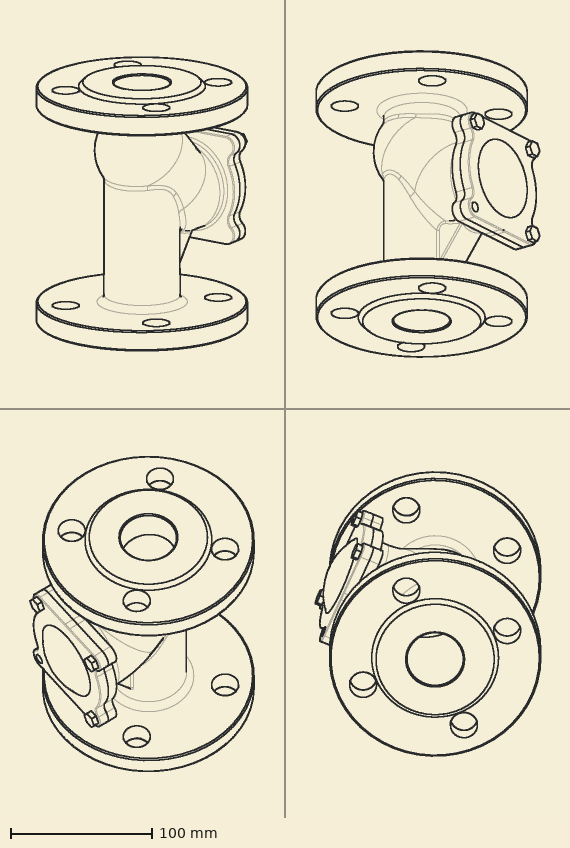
import cadquery as cq
import math

length = 180.0
pipe_d = 54.0
bore_d = 40.0
bore_chamfer = 0.9

flange_d = 150.0
flange_t = 18.0
raised_face_h = 3.0
raised_face_d = 90.0
flange_edge = 1.0
neck_fillet = 5.0
flange_hole_d = 19.0
flange_hole_circle_d = 110.0
flange_hole_count = 4
flange_hole_start = 45.0

chamber_r = 65.0 / 2
round_end_y = -2.2
round_end_z = 130.3
chamber_tilt = 45.0
cover_z = 91.6
bend_r = chamber_r + 0.2
crotch_fillet = 6.5
collar_fillet = 2.0

joint_y = 64.6
plate_t = 7.5
plate_edge = 0.7
plate_r = 40.0
bolt_spacing = 65.0
lobe_r = 7.4
valley_r = 7.0
dome_h = 10.3
dome_r = 45.0

bolt_d = 6.0
bolt_clearance_d = 7.0
bolt_depth = 5.0
head_flats = 10.0
head_h = 4.0

rib_t = 25.0
rib_foot_z = 37.3
rib_angle = 52.5
rib_reach = 19.8
rib_edge = 1.0
rib_fillet = 2.0

tolerance = 0.02

pipe_r = pipe_d / 2
tilt = math.radians(chamber_tilt)
bend_start_z = cover_z + bend_r * (1 - math.cos(tilt))
tube_length = (round_end_z - bend_start_z) / math.sin(tilt)
bend_start_y = round_end_y + tube_length * math.cos(tilt)
bend_end_y = bend_start_y + bend_r * math.sin(tilt)
plate_back_y = joint_y - plate_t
plate_front_y = joint_y + plate_t
dome_tip_y = plate_front_y + dome_h
neck_z = flange_t + neck_fillet
bolt_offset = bolt_spacing / 2
empty_hole = (bolt_offset, -bolt_offset)
hole_places = [(x, z) for x in (-bolt_offset, bolt_offset) for z in (-bolt_offset, bolt_offset)]
bolt_places = [place for place in hole_places if place != empty_hole]


def facing_cover(y):
    """Plane on the cover axis with its normal along +Y; local x points along -X and local y along +Z."""
    return cq.Workplane(cq.Plane((0, y, cover_z), (-1, 0, 0), (0, 1, 0)))


def pipe_flange():
    """One flange with its raised face at Z = 0 and the fillet that leads into the pipe."""
    flange_r = flange_d / 2
    face_r = raised_face_d / 2
    neck_mid = neck_fillet * (1 - math.sqrt(0.5))
    return (
        cq.Workplane("XZ")
        .moveTo(0, 0)
        .lineTo(face_r - raised_face_h, 0)
        .lineTo(face_r, raised_face_h)
        .lineTo(flange_r - flange_edge, raised_face_h)
        .lineTo(flange_r, raised_face_h + flange_edge)
        .lineTo(flange_r, flange_t - flange_edge)
        .lineTo(flange_r - flange_edge, flange_t)
        .lineTo(pipe_r + neck_fillet, flange_t)
        .threePointArc((pipe_r + neck_mid, flange_t + neck_mid), (pipe_r, neck_z))
        .lineTo(0, neck_z)
        .close()
        .revolve()
        .cut(
            cq.Workplane("XY")
            .polarArray(flange_hole_circle_d / 2, flange_hole_start, 360, flange_hole_count)
            .circle(flange_hole_d / 2)
            .extrude(flange_t)
        )
    )


def bore_countersink():
    """Cone, widest at Z = 0, that breaks the edge of the bore at 45 degrees."""
    mouth_r = bore_d / 2 + bore_chamfer
    return cq.Workplane("XY").circle(mouth_r).extrude(2 * bore_chamfer, taper=45)


def pipe_run():
    lower = pipe_flange()
    upper = lower.mirror("XY").translate((0, 0, length))
    pipe = cq.Workplane("XY").workplane(offset=neck_z).circle(pipe_r).extrude(length - 2 * neck_z)
    bore = cq.Workplane("XY").circle(bore_d / 2).extrude(length)
    lower_mouth = bore_countersink()
    upper_mouth = lower_mouth.mirror("XY").translate((0, 0, length))
    bore = bore.union(lower_mouth).union(upper_mouth)
    return lower.union(pipe).union(upper).cut(bore)


def chamber():
    """Solid chamber: its rounded end closes the bore where the two cross."""
    rounded_end = cq.Workplane("XY", origin=(0, round_end_y, round_end_z)).sphere(chamber_r)
    tube_axis = (0, math.cos(tilt), -math.sin(tilt))
    tube_plane = cq.Plane((0, round_end_y, round_end_z), (1, 0, 0), tube_axis)
    tube = cq.Workplane(tube_plane).circle(chamber_r).extrude(tube_length)
    bend = (
        facing_cover(bend_end_y)
        .circle(chamber_r)
        .revolve(chamber_tilt, (0, bend_r, 0), (1, bend_r, 0))
    )
    collar = facing_cover(bend_end_y).circle(chamber_r).extrude(plate_back_y - bend_end_y)
    return rounded_end.union(tube).union(bend).union(collar)


def edge_points(edge):
    return [edge.positionAt(t) for t in (0.1, 0.5, 0.9)]


def is_crotch_edge(edge):
    """True for the curves where the chamber meets the outside of the pipe."""
    points = edge_points(edge)
    on_pipe = all(abs(math.hypot(p.x, p.y) - pipe_r) < tolerance for p in points)
    between_necks = all(neck_z + tolerance < p.z < length - neck_z - tolerance for p in points)
    return on_pipe and between_necks and edge.geomType() != "LINE"


def is_rib_side_edge(edge):
    """True for the outline of the rib's two flat sides."""
    below_chamber_axis = neck_z < edge.Center().z < cover_z
    on_side = all(abs(abs(p.x) - rib_t / 2) < tolerance for p in edge_points(edge))
    return on_side and below_chamber_axis and edge.Center().y > 0


def is_rib_slope_edge(edge):
    """True for the outer edges along the rib's sloping face."""
    leans = abs(edge.startPoint().y - edge.endPoint().y) > tolerance
    return is_rib_side_edge(edge) and edge.geomType() == "LINE" and leans


def is_rib_joint_edge(edge):
    """True where the rib's sides run into the pipe and the chamber, once its slope is rounded."""
    upright = abs(edge.startPoint().y - edge.endPoint().y) < tolerance
    return is_rib_side_edge(edge) and (edge.geomType() != "LINE" or upright)


def is_collar_root(edge):
    """True for the circle where the collar meets the back of the housing plate."""
    points = edge_points(edge)
    return all(
        abs(p.y - plate_back_y) < tolerance
        and abs(math.hypot(p.x, p.z - cover_z) - chamber_r) < tolerance
        for p in points
    )


def fillet_where(body, wanted, radius):
    return body.newObject([edge for edge in body.edges().vals() if wanted(edge)]).fillet(radius)


def rib():
    slope = math.tan(math.radians(rib_angle))
    root_y = (pipe_r + bore_d / 2) / 2
    tip_y = pipe_r + rib_reach
    return (
        cq.Workplane("YZ", origin=(-rib_t / 2, 0, 0))
        .moveTo(root_y, rib_foot_z - slope * (pipe_r - root_y))
        .lineTo(tip_y, rib_foot_z + slope * rib_reach)
        .lineTo(tip_y, cover_z)
        .lineTo(root_y, cover_z)
        .close()
        .extrude(rib_t)
    )


def plate(y_start):
    """Disc with four bolt lobes: flat above and below, rounded valleys at the sides."""
    face = facing_cover(y_start)
    disc = face.circle(plate_r).extrude(plate_t)
    lobes = face.rect(bolt_spacing, bolt_spacing, forConstruction=True).vertices()
    body = disc.union(lobes.circle(lobe_r).extrude(plate_t))
    bar_h = 1.5 * lobe_r
    for side in (-1, 1):
        bar_centre = side * (bolt_offset + lobe_r - bar_h / 2)
        body = body.union(face.center(0, bar_centre).rect(bolt_spacing, bar_h).extrude(plate_t))

    def is_valley(edge):
        height = abs(edge.Center().z - cover_z)
        along_y = abs(edge.startPoint().y - edge.endPoint().y) > tolerance
        return along_y and bolt_offset - lobe_r < height < bolt_offset - lobe_r / 2 - tolerance

    return fillet_where(body, is_valley, valley_r)


def bolt_holes(y_start, diameter, depth):
    places = [(-x, z) for x, z in hole_places]
    return facing_cover(y_start).pushPoints(places).circle(diameter / 2).extrude(depth)


def make_housing():
    body = fillet_where(pipe_run().union(chamber()), is_crotch_edge, crotch_fillet)
    body = body.union(rib())
    body = fillet_where(body, is_rib_slope_edge, rib_edge)
    body = fillet_where(body, is_rib_joint_edge, rib_fillet)
    back_plate = plate(plate_back_y).faces("<Y").edges().fillet(plate_edge)
    body = fillet_where(body.union(back_plate), is_collar_root, collar_fillet)
    return body.cut(bolt_holes(joint_y - bolt_depth, bolt_d, bolt_depth))


def make_cover():
    front_plate = plate(joint_y).faces(">Y").edges().fillet(plate_edge)
    ball = cq.Workplane("XY", origin=(0, dome_tip_y - dome_r, cover_z)).sphere(dome_r)
    keep = facing_cover(joint_y).circle(plate_r).extrude(dome_tip_y - joint_y)
    body = front_plate.union(ball.intersect(keep))
    return body.cut(bolt_holes(joint_y, bolt_clearance_d, plate_t))


def make_bolt(x, z):
    """Hexagon bolt with its head on the cover and corners pointing along X."""
    head_d = head_flats / math.cos(math.radians(30))
    head = facing_cover(plate_front_y).center(-x, z).polygon(6, head_d).extrude(head_h)
    shank_y = joint_y - bolt_depth
    shank = facing_cover(shank_y).center(-x, z).circle(bolt_d / 2).extrude(plate_front_y - shank_y)
    return head.union(shank)


housing = make_housing()
cover = make_cover()
bolts = [make_bolt(x, z) for x, z in bolt_places]

result = cq.Compound.makeCompound([housing.val(), cover.val(), *[bolt.val() for bolt in bolts]])